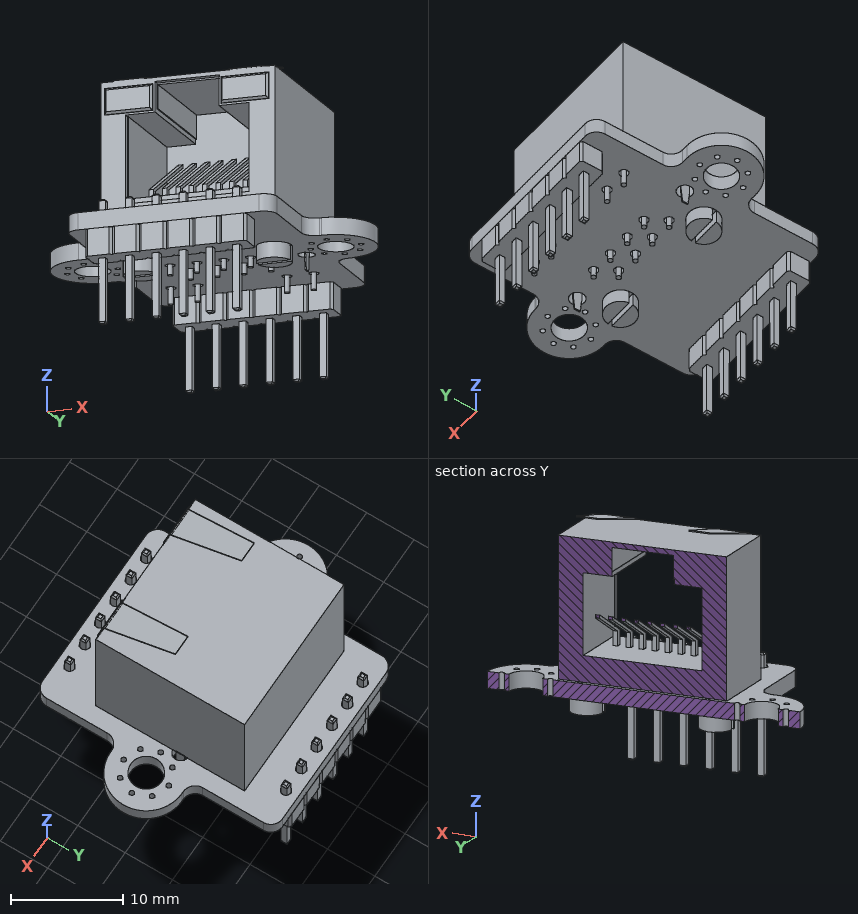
import cadquery as cq
import math


OVERALL_LENGTH = 30.6
OVERALL_HEIGHT = 25.75
EAR_DIAMETER = 7.6
BOARD_WIDTH = 19.65
BOARD_DEPTH = 25.4
BOARD_THICKNESS = 1.62
BOARD_CENTER_X = 0.25
BOARD_CORNER_RADIUS = 1.25
EAR_X = (OVERALL_LENGTH - EAR_DIAMETER) / 2
EAR_HOLE_DIAMETER = 3.25
EAR_RING_RADIUS = 2.4
EAR_RING_HOLE_DIAMETER = 0.5
EAR_RING_COUNT = 8

PIN_COUNT = 6
PIN_PITCH = 2.55
PIN_ROW_CENTER_X = -0.05
PIN_WIDTH = 0.65
PIN_TIP_CHAMFER = 0.15
PIN_HOLE_DIAMETER = 1.0
PIN_TOP_Z = 2.95
PIN_BOTTOM_Z = -8.6
HEADER_SIZE = PIN_PITCH
HEADER_CHAMFER = 0.25
PIN_ROW_Y = (BOARD_DEPTH - HEADER_SIZE) / 2

SHELL_WIDTH = 16.5
SHELL_CENTER_X = 0.12
SHELL_FRONT_Y = -7.35
SHELL_BACK_Y = 8.4
SHELL_STANDOFF = 0.1
SHELL_BOTTOM_Z = BOARD_THICKNESS + SHELL_STANDOFF
SHELL_TOP_Z = 15.15

JACK_X = 0.05
FRAME_DEPTH = 0.55
OPENING_WIDTH = 11.7
OPENING_BOTTOM_Z = 3.65
SHOULDER_Z = 11.9
LATCH_WIDTH = 6.05
LATCH_TOP_Z = 14.75
SOCKET_BACK_Y = 3.37
SOCKET_FLOOR_Z = 4.25
SOCKET_LEFT_INSET = 0.1
SOCKET_RIGHT_INSET = 0.015
LATCH_LEDGE_Z = 12.37
SOCKET_TOP_Z = 14.6

CONTACT_COUNT = 8
CONTACT_PITCH = PIN_PITCH / 2
CONTACT_WIDTH = 0.43
CONTACT_FRONT_Y = -4.4
CONTACT_LEG_DEPTH = 0.55
CONTACT_LEG_HEIGHT = 1.4
CONTACT_THICKNESS = 0.35
CONTACT_TOP_Z = 10.13

LIGHT_SPACING = 11.0
FINGER_BASE_WIDTH = 3.0
FINGER_TIP_WIDTH = 2.08
FINGER_TIP_Y = -0.05
FINGER_TOP_Z = PIN_BOTTOM_Z + OVERALL_HEIGHT
FINGER_THICKNESS = 0.107
FINGER_RISE = 0.075

LIGHT_WIDTH = 4.53
LIGHT_HEIGHT = 2.45
LIGHT_DROP = 1.85
LIGHT_CENTER_Z = SHELL_TOP_Z - LIGHT_DROP
LIGHT_PROTRUSION = 0.3
LIGHT_BEVEL = 0.2

PEG_DIAMETER = 3.2
PEG_HOLE_DIAMETER = 3.25
PEG_SPACING = 12.6
PEG_Y = -1.9
PEG_SLOT_WIDTH = 0.43
PEG_BOTTOM_Z = -1.47
TAB_OUTER_WIDTH = 16.45
TAB_THICKNESS = 0.12
TAB_Y = 1.53
TAB_WIDTH = 0.95
TAB_TIP_WIDTH = 0.6
TAB_HOLE_SPACING = 16.28
TAB_HOLE_DIAMETER = 1.55
SOLDER_PIN_DIAMETER = 0.5
SOLDER_HOLE_DIAMETER = 0.9
CONTACT_PIN_ROWS_Y = (0.58, 2.42)
CONTACT_PIN_BOTTOM_Z = -0.92
LIGHT_PIN_Y = 7.25
LIGHT_PIN_SPACING = 2.55
LIGHT_PIN_BOTTOM_Z = -1.53


def box(x_min, x_max, y_min, y_max, z_min, z_max):
    size = (x_max - x_min, y_max - y_min, z_max - z_min)
    return cq.Workplane("XY").box(*size, centered=False).translate((x_min, y_min, z_min))


def row(count, pitch, center):
    """Evenly spaced positions about a centre."""
    return [center + (i - (count - 1) / 2) * pitch for i in range(count)]


PIN_XS = row(PIN_COUNT, PIN_PITCH, PIN_ROW_CENTER_X)
CONTACT_XS = row(CONTACT_COUNT, CONTACT_PITCH, JACK_X)
LIGHT_XS = row(2, LIGHT_SPACING, JACK_X)
PEG_POINTS = [(x, PEG_Y) for x in row(2, PEG_SPACING, JACK_X)]
CONTACT_PIN_POINTS = [(x, CONTACT_PIN_ROWS_Y[i % 2]) for i, x in enumerate(CONTACT_XS)]
LIGHT_PIN_POINTS = [(x, LIGHT_PIN_Y) for center in LIGHT_XS for x in row(2, LIGHT_PIN_SPACING, center)]


def make_board_blank():
    """Rounded rectangle with a rounded ear on each side, blended at the inner corners."""
    body = (
        cq.Workplane("XY")
        .center(BOARD_CENTER_X, 0)
        .rect(BOARD_WIDTH, BOARD_DEPTH)
        .extrude(BOARD_THICKNESS)
        .edges("|Z")
        .fillet(BOARD_CORNER_RADIUS)
    )
    ears = cq.Workplane("XY").slot2D(OVERALL_LENGTH, EAR_DIAMETER).extrude(BOARD_THICKNESS)
    blank = body.union(ears)
    for x in row(2, BOARD_WIDTH, BOARD_CENTER_X):
        for y in row(2, EAR_DIAMETER, 0):
            corner = cq.selectors.NearestToPointSelector((x, y, BOARD_THICKNESS / 2))
            blank = blank.edges(corner).fillet(BOARD_CORNER_RADIUS)
    return blank


def drill(part, points, diameter):
    """Round holes through the whole board."""
    holes = cq.Workplane("XY").pushPoints(points).circle(diameter / 2).extrude(BOARD_THICKNESS)
    return part.cut(holes)


def make_board():
    board = make_board_blank()
    for ear_x in (-EAR_X, EAR_X):
        angles = [2 * math.pi * i / EAR_RING_COUNT for i in range(EAR_RING_COUNT)]
        ring = [(ear_x + EAR_RING_RADIUS * math.cos(a), EAR_RING_RADIUS * math.sin(a)) for a in angles]
        board = drill(board, [(ear_x, 0)], EAR_HOLE_DIAMETER)
        board = drill(board, ring, EAR_RING_HOLE_DIAMETER)

    for row_y in (-PIN_ROW_Y, PIN_ROW_Y):
        board = drill(board, [(x, row_y) for x in PIN_XS], PIN_HOLE_DIAMETER)

    tab_points = [(x, TAB_Y) for x in row(2, TAB_HOLE_SPACING, JACK_X)]
    board = drill(board, tab_points, TAB_HOLE_DIAMETER)
    board = drill(board, PEG_POINTS, PEG_HOLE_DIAMETER)
    return drill(board, CONTACT_PIN_POINTS + LIGHT_PIN_POINTS, SOLDER_HOLE_DIAMETER)


def make_header(row_y):
    """Row of chamfered blocks under the board, each with a square pin through it."""
    points = [(x, row_y) for x in PIN_XS]
    blocks = (
        cq.Workplane("XY")
        .pushPoints(points)
        .rect(HEADER_SIZE, HEADER_SIZE)
        .extrude(-HEADER_SIZE, combine=False)
    )
    header = None
    for block in blocks.vals():
        chamfered = cq.Workplane(block).edges("|Z").chamfer(HEADER_CHAMFER)
        header = chamfered if header is None else header.union(chamfered)
    for x, y in points:
        half = PIN_WIDTH / 2
        pin = box(x - half, x + half, y - half, y + half, PIN_BOTTOM_Z, PIN_TOP_Z)
        header = header.union(pin.faces("<Z or >Z").chamfer(PIN_TIP_CHAMFER))
    return header


def cut_plug_opening(shell):
    """Stepped opening: front frame with a latch slot, and the socket, ledge and key space behind."""
    left = JACK_X - OPENING_WIDTH / 2
    right = JACK_X + OPENING_WIDTH / 2
    latch_left = JACK_X - LATCH_WIDTH / 2
    latch_right = JACK_X + LATCH_WIDTH / 2
    frame_back = SHELL_FRONT_Y + FRAME_DEPTH
    socket_left = left + SOCKET_LEFT_INSET
    socket_right = right - SOCKET_RIGHT_INSET
    key_left = latch_left + SOCKET_LEFT_INSET
    key_right = latch_right - SOCKET_RIGHT_INSET

    frame = box(left, right, SHELL_FRONT_Y, frame_back, OPENING_BOTTOM_Z, SHOULDER_Z)
    latch = box(latch_left, latch_right, SHELL_FRONT_Y, frame_back, SHOULDER_Z, LATCH_TOP_Z)
    socket = box(socket_left, socket_right, frame_back, SOCKET_BACK_Y, SOCKET_FLOOR_Z, SHOULDER_Z)
    ledge = box(latch_left, latch_right, frame_back, SOCKET_BACK_Y, SHOULDER_Z, LATCH_LEDGE_Z)
    key = box(key_left, key_right, frame_back, SOCKET_BACK_Y, LATCH_LEDGE_Z, SOCKET_TOP_Z)
    return shell.cut(frame).cut(latch).cut(socket).cut(ledge).cut(key)


def make_contact(x):
    """Bent strip: a short leg on the socket floor, then a slope up to the socket's back wall."""
    leg_top = SOCKET_FLOOR_Z + CONTACT_LEG_HEIGHT
    slope = (CONTACT_TOP_Z - leg_top) / (SOCKET_BACK_Y - CONTACT_FRONT_Y)
    leg_back = CONTACT_FRONT_Y + CONTACT_LEG_DEPTH
    return (
        cq.Workplane("YZ", origin=(x - CONTACT_WIDTH / 2, 0, 0))
        .moveTo(CONTACT_FRONT_Y, SOCKET_FLOOR_Z)
        .lineTo(CONTACT_FRONT_Y, leg_top)
        .lineTo(SOCKET_BACK_Y, CONTACT_TOP_Z)
        .lineTo(SOCKET_BACK_Y, CONTACT_TOP_Z - CONTACT_THICKNESS)
        .lineTo(leg_back, leg_top + slope * CONTACT_LEG_DEPTH - CONTACT_THICKNESS)
        .lineTo(leg_back, SOCKET_FLOOR_Z)
        .close()
        .extrude(CONTACT_WIDTH)
    )


def make_finger(x):
    """Thin tapered strip that rises from the shell's top front edge."""
    length = FINGER_TIP_Y - SHELL_FRONT_Y
    profile = (
        cq.Workplane("YZ", origin=(x - FINGER_BASE_WIDTH / 2, 0, 0))
        .moveTo(SHELL_FRONT_Y, SHELL_TOP_Z + FINGER_RISE - FINGER_THICKNESS)
        .lineTo(SHELL_FRONT_Y, SHELL_TOP_Z + FINGER_RISE)
        .lineTo(FINGER_TIP_Y, FINGER_TOP_Z)
        .lineTo(FINGER_TIP_Y, FINGER_TOP_Z - FINGER_THICKNESS)
        .close()
        .extrude(FINGER_BASE_WIDTH)
    )
    taper = (
        cq.Workplane("XY", origin=(x, SHELL_FRONT_Y, SHELL_TOP_Z - FINGER_THICKNESS))
        .moveTo(-FINGER_BASE_WIDTH / 2, 0)
        .lineTo(FINGER_BASE_WIDTH / 2, 0)
        .lineTo(FINGER_TIP_WIDTH / 2, length)
        .lineTo(-FINGER_TIP_WIDTH / 2, length)
        .close()
        .extrude(FINGER_TOP_Z - SHELL_TOP_Z + FINGER_THICKNESS)
    )
    return profile.intersect(taper)


def make_posts(points, diameter, bottom_z):
    """Round posts from the shell's underside down to a given level."""
    return (
        cq.Workplane("XY", origin=(0, 0, bottom_z))
        .pushPoints(points)
        .circle(diameter / 2)
        .extrude(SHELL_BOTTOM_Z - bottom_z)
    )


def make_pegs():
    """Locating pegs, each split along X by a slot."""
    pegs = make_posts(PEG_POINTS, PEG_DIAMETER, PEG_BOTTOM_Z)
    slots = (
        cq.Workplane("XY", origin=(0, 0, PEG_BOTTOM_Z))
        .pushPoints(PEG_POINTS)
        .rect(PEG_DIAMETER, PEG_SLOT_WIDTH)
        .extrude(-PEG_BOTTOM_Z)
    )
    return pegs.cut(slots)


def make_tab(x):
    """Shield tab, tapered below the board."""
    return (
        cq.Workplane("YZ", origin=(x - TAB_THICKNESS / 2, TAB_Y, 0))
        .moveTo(-TAB_WIDTH / 2, SHELL_BOTTOM_Z)
        .lineTo(TAB_WIDTH / 2, SHELL_BOTTOM_Z)
        .lineTo(TAB_WIDTH / 2, 0)
        .lineTo(TAB_TIP_WIDTH / 2, PEG_BOTTOM_Z)
        .lineTo(-TAB_TIP_WIDTH / 2, PEG_BOTTOM_Z)
        .lineTo(-TAB_WIDTH / 2, 0)
        .close()
        .extrude(TAB_THICKNESS)
    )


def make_jack():
    shell_left = SHELL_CENTER_X - SHELL_WIDTH / 2
    shell_right = SHELL_CENTER_X + SHELL_WIDTH / 2
    shell = box(shell_left, shell_right, SHELL_FRONT_Y, SHELL_BACK_Y, SHELL_BOTTOM_Z, SHELL_TOP_Z)
    jack = cut_plug_opening(shell)
    for x in CONTACT_XS:
        jack = jack.union(make_contact(x))
    for x in LIGHT_XS:
        jack = jack.union(make_finger(x))
    for x in row(2, TAB_OUTER_WIDTH - TAB_THICKNESS, JACK_X):
        jack = jack.union(make_tab(x))
    jack = jack.union(make_pegs())
    jack = jack.union(make_posts(CONTACT_PIN_POINTS, SOLDER_PIN_DIAMETER, CONTACT_PIN_BOTTOM_Z))
    return jack.union(make_posts(LIGHT_PIN_POINTS, SOLDER_PIN_DIAMETER, LIGHT_PIN_BOTTOM_Z))


def make_light(x):
    """Bevelled window on the shell's front face."""
    return (
        cq.Workplane("XZ", origin=(x, SHELL_FRONT_Y, LIGHT_CENTER_Z))
        .rect(LIGHT_WIDTH, LIGHT_HEIGHT)
        .extrude(LIGHT_PROTRUSION)
        .faces("<Y")
        .chamfer(LIGHT_BEVEL)
    )


board = make_board()
jack = make_jack()
lights = [make_light(x) for x in LIGHT_XS]
headers = [make_header(y) for y in (-PIN_ROW_Y, PIN_ROW_Y)]

result = cq.Compound.makeCompound(
    [board.val(), jack.val(), *[light.val() for light in lights], *[header.val() for header in headers]]
)